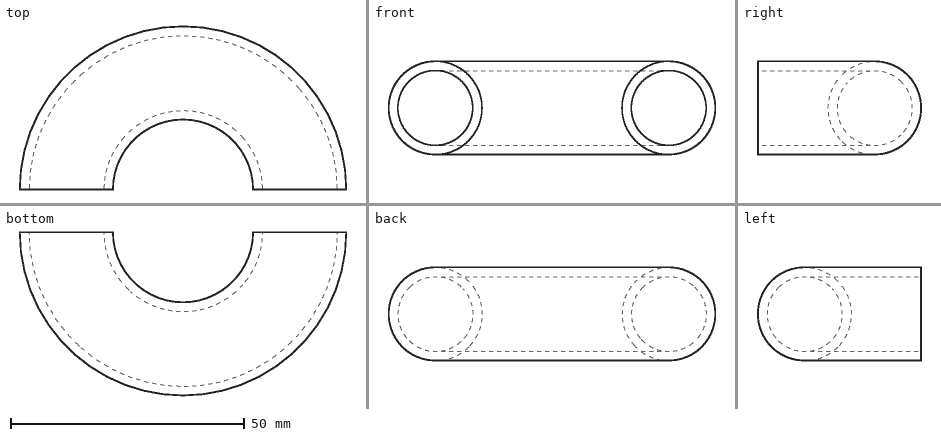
import cadquery as cq

overall_width = 70.0
tube_diameter = 20.0
bore_diameter = 16.0
bend_angle = 180.0

tube_radius = tube_diameter / 2
bore_radius = bore_diameter / 2
bend_radius = overall_width / 2 - tube_radius

wall_section = (
    cq.Workplane("XZ")
    .center(-bend_radius, 0)
    .circle(tube_radius)
    .circle(bore_radius)
)

bend_axis_start = (bend_radius, 0)
bend_axis_end = (bend_radius, -1)
result = wall_section.revolve(bend_angle, bend_axis_start, bend_axis_end)